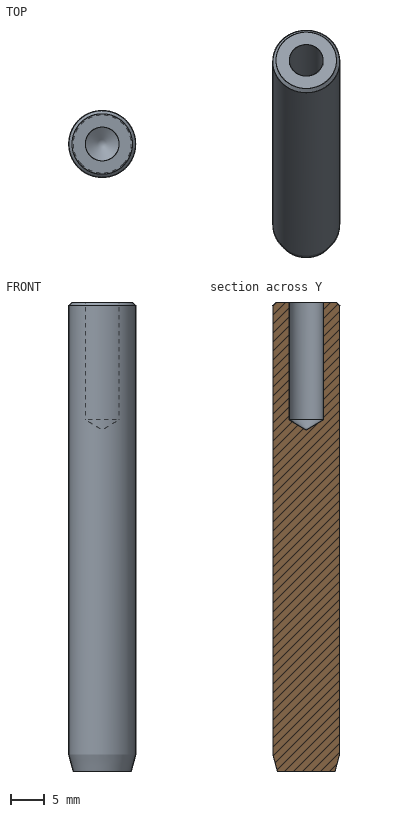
import cadquery as cq
import math

length = 70.0
diameter = 10.0
radius = diameter / 2

top_chamfer_width = 0.5
top_chamfer_height = 0.5
taper_height = 2.5
taper_angle = 15.0
tip_radius = radius - taper_height * math.tan(math.radians(taper_angle))

hole_radius = 2.5
hole_depth = 17.5
drill_point_angle = 118.0
drill_point_depth = hole_radius / math.tan(math.radians(drill_point_angle / 2))


def pin_body():
    """Revolve the half profile of the pin, including the blind hole."""
    return (
        cq.Workplane("XZ")
        .moveTo(0, 0)
        .lineTo(tip_radius, 0)
        .lineTo(radius, taper_height)
        .lineTo(radius, length - top_chamfer_height)
        .lineTo(radius - top_chamfer_width, length)
        .lineTo(hole_radius, length)
        .lineTo(hole_radius, length - hole_depth)
        .lineTo(0, length - hole_depth - drill_point_depth)
        .close()
        .revolve(360, (0, 0, 0), (0, 1, 0))
    )


result = pin_body()